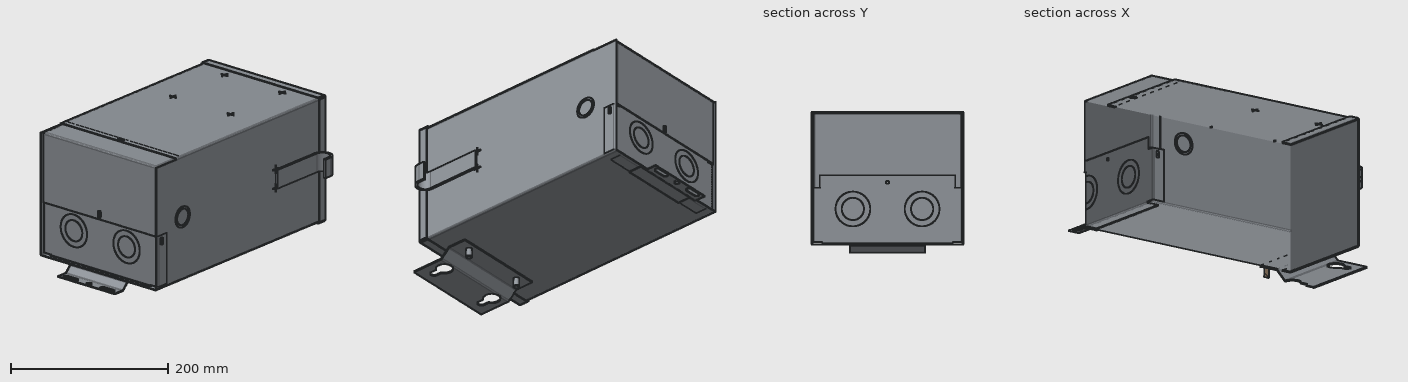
import cadquery as cq
import math


TOTAL_WIDTH = 246.13
TOTAL_LENGTH = 391.89
TOTAL_HEIGHT = 185.43

SHEET = 1.2
BEND_RADIUS = 2.4
BODY_WIDTH = 194.4
BODY_HEIGHT = 169.9
ROOF_FRONT = 38.6
CAP_FRONT = 317.6
CAP_BACK = 331.4
CAP_SIDE_CLEARANCE = 0.9
CAP_CORNER_GAP = BEND_RADIUS
HALF_WIDTH = BODY_WIDTH / 2
BODY_BACK = CAP_BACK - SHEET
INNER_HALF_WIDTH = HALF_WIDTH - SHEET

COVER_FRONT = 1.2
COVER_HALF_WIDTH = 94.9
COVER_FLANGE = 15.0
COVER_OVERLAP = 10.0
SPLIT_HEIGHT = 72.8
PANEL_CLEARANCE = 0.8
PANEL_FRONT = COVER_FRONT + SHEET + PANEL_CLEARANCE
PANEL_FLANGE = 18.0
PANEL_LIP_HALF_WIDTH = 83.2
TONGUE_HALF_WIDTH = 86.0
TONGUE_HEIGHT = 16.0

SLOT_LENGTH = 9.6
SLOT_WIDTH = 4.4
SCREW_HOLE = 3.4
ROOF_SLOT_Y = 44.2
COVER_SLOT_Z = 79.8
SIDE_SLOT_Y = 10.9
SIDE_SLOT_Z = 64.7

SCORE_WIDTH = 0.3
SCORE_DEPTH = 0.4
FRONT_KNOCKOUT_X = 44.1
FRONT_KNOCKOUT_Z = 45.9
FRONT_KNOCKOUT_DIAMETERS = (44.5, 28.6)
SIDE_KNOCKOUT_Y = 51.5
SIDE_KNOCKOUT_Z = 85.9
SIDE_KNOCKOUT_DIAMETERS = (28.6, 22.2)

CROSS_LENGTH = 10.6
CROSS_SLIT = 0.8
ROOF_CROSS_X = 48.2
ROOF_CROSS_Y = (202.8, 304.0)

HOOK_THICKNESS = 3.2
HOOK_WIDTH = 25.4
HOOK_Z = 84.7
HOOK_TIP_X = TOTAL_WIDTH / 2
HOOK_STRAP_END = 234.4
HOOK_BEND_Y = 310.4
HOOK_TIP_LENGTH = 8.9
HOOK_HOLE = 6.4
HOOK_RADIUS = (HOOK_TIP_X - HALF_WIDTH) / 2
HOOK_CENTRE_X = HALF_WIDTH + HOOK_RADIUS

FRONT_BRACKET_HALF_WIDTH = 47.8
FRONT_BRACKET_DROP = 8.9
FRONT_BRACKET_TIP = -23.9
FRONT_BRACKET_BEND = 0.6
FRONT_BRACKET_END = 20.5
FRONT_HOLES_Y = -18.6
FRONT_HOLE = 7.2
FRONT_SLOT_X = 30.5
FRONT_SLOT_LENGTH = 22.4
FRONT_SLOT_WIDTH = 7.2

REAR_SHEET = 1.9
REAR_BRACKET_HALF_WIDTH = 65.3
REAR_BRACKET_DROP = TOTAL_HEIGHT - BODY_HEIGHT - SHEET - REAR_SHEET
REAR_BRACKET_TIP = FRONT_BRACKET_TIP + TOTAL_LENGTH
REAR_BRACKET_BEND = 309.6
REAR_BRACKET_END = 282.3
KEYHOLE_X = 46.0
KEYHOLE_Y = 333.4
KEYHOLE_DIAMETER = 22.2
KEYHOLE_SLOT_WIDTH = 10.4
KEYHOLE_TOP = 356.0

STUD_DIAMETER = 7.9
STUD_Y = 292.0
STUD_CHAMFER = 0.9


def block(x, y, z):
    """Box given by its (low, high) limits along each axis."""
    return cq.Workplane("XY").box(
        x[1] - x[0], y[1] - y[0], z[1] - z[0], centered=False
    ).translate((x[0], y[0], z[0]))


def facing(origin, normal, across):
    """Workplane at origin, looking along normal, with its local X along across."""
    return cq.Workplane(cq.Plane(origin=origin, xDir=across, normal=normal))


def screw_slot(origin, normal, along):
    """Cutter for a screw slot through one sheet, lengthwise along a direction."""
    return facing(origin, normal, along).slot2D(SLOT_LENGTH, SLOT_WIDTH).extrude(SHEET, both=True)


def screw_hole(origin, normal, across):
    """Cutter for the round screw hole behind a slot."""
    return facing(origin, normal, across).circle(SCREW_HOLE / 2).extrude(SHEET, both=True)


def scored_circles(origin, normal, across, diameters):
    """Cutter for shallow concentric circular grooves."""
    grooves = cq.Workplane("XY")
    for diameter in diameters:
        radius = diameter / 2
        ring = facing(origin, normal, across).circle(radius).circle(radius - SCORE_WIDTH)
        grooves = grooves.add(ring.extrude(-SCORE_DEPTH))
    return grooves.combine()


def cross_slits(origin, normal, across):
    """Cutter for a locating cross made of two thin slits."""
    plane = facing(origin, normal, across)
    first = plane.rect(CROSS_LENGTH, CROSS_SLIT).extrude(SHEET, both=True)
    second = plane.rect(CROSS_SLIT, CROSS_LENGTH).extrude(SHEET, both=True)
    return first.union(second)


def make_housing():
    """Folded rectangular tube whose roof is cut back at the front."""
    tube = block((-HALF_WIDTH, HALF_WIDTH), (0, BODY_BACK), (0, BODY_HEIGHT))
    tube = tube.edges("|Y").fillet(BEND_RADIUS)
    cavity = block(
        (-INNER_HALF_WIDTH, INNER_HALF_WIDTH), (0, BODY_BACK), (SHEET, BODY_HEIGHT - SHEET)
    ).edges("|Y").fillet(BEND_RADIUS - SHEET)
    tube = tube.cut(cavity)
    wall_top = BODY_HEIGHT - BEND_RADIUS
    tube = tube.cut(block((-HALF_WIDTH, HALF_WIDTH), (0, ROOF_FRONT), (wall_top, BODY_HEIGHT)))
    tube = tube.cut(screw_slot((0, ROOF_SLOT_Y, BODY_HEIGHT), (0, 0, 1), (1, 0, 0)))
    for side in (-1, 1):
        x = side * HALF_WIDTH
        outward = (side, 0, 0)
        tube = tube.cut(screw_slot((x, SIDE_SLOT_Y, SIDE_SLOT_Z), outward, (0, 0, 1)))
        tube = tube.cut(scored_circles(
            (x, SIDE_KNOCKOUT_Y, SIDE_KNOCKOUT_Z), outward, (0, 1, 0), SIDE_KNOCKOUT_DIAMETERS
        ))
        for edge in (-1, 1):
            corner = (x, HOOK_STRAP_END, HOOK_Z + edge * HOOK_WIDTH / 2)
            tube = tube.cut(cross_slits(corner, outward, (0, 1, 0)))
        for y in ROOF_CROSS_Y:
            tube = tube.cut(cross_slits((side * ROOF_CROSS_X, y, BODY_HEIGHT), (0, 0, 1), (1, 0, 0)))
    return tube


def folded_channel(half_width, front, back, bottom, top):
    """Upright sheet whose side flanges fold back along +Y."""
    outer = block((-half_width, half_width), (front, back), (bottom, top))
    outer = outer.edges("|Z and <Y").fillet(BEND_RADIUS)
    inner = block(
        (-half_width + SHEET, half_width - SHEET), (front + SHEET, back), (bottom, top)
    ).edges("|Z and <Y").fillet(BEND_RADIUS - SHEET)
    return outer.cut(inner)


def make_rear_cap():
    """Rear plate with four flanges that wrap the back end of the housing."""
    inner_half_width = HALF_WIDTH + CAP_SIDE_CLEARANCE
    half_width = inner_half_width + SHEET
    bottom = -SHEET
    top = BODY_HEIGHT + SHEET
    flange_half_width = half_width - CAP_CORNER_GAP
    sides = block(
        (-half_width, half_width),
        (CAP_FRONT, CAP_BACK),
        (bottom + CAP_CORNER_GAP, top - CAP_CORNER_GAP),
    ).edges("|Z and >Y").fillet(BEND_RADIUS)
    ends = block(
        (-flange_half_width, flange_half_width), (CAP_FRONT, CAP_BACK), (bottom, top)
    ).edges("|X and >Y").fillet(BEND_RADIUS)
    pocket = block((-inner_half_width, inner_half_width), (CAP_FRONT, BODY_BACK), (0, BODY_HEIGHT))
    return sides.union(ends).cut(pocket)


def make_front_cover():
    """L-shaped cover: upper front face and a top that slides under the roof, with side flanges."""
    top = BODY_HEIGHT - SHEET
    back = ROOF_FRONT + COVER_OVERLAP
    outer = block((-COVER_HALF_WIDTH, COVER_HALF_WIDTH), (COVER_FRONT, back), (SPLIT_HEIGHT, top))
    folds = "(|Z and <Y) or (|Y and >Z) or (|X and <Y and >Z)"
    outer = outer.edges(folds).fillet(BEND_RADIUS)
    inner_half_width = COVER_HALF_WIDTH - SHEET
    inner = block(
        (-inner_half_width, inner_half_width),
        (COVER_FRONT + SHEET, back),
        (SPLIT_HEIGHT, top - SHEET),
    )
    inner = inner.edges(folds).fillet(BEND_RADIUS - SHEET)
    flange_trim = block(
        (-HALF_WIDTH, HALF_WIDTH),
        (COVER_FRONT + COVER_FLANGE, back),
        (SPLIT_HEIGHT, top - COVER_FLANGE),
    )
    cover = outer.cut(inner).cut(flange_trim)
    cover = cover.cut(screw_slot((0, COVER_FRONT, COVER_SLOT_Z), (0, -1, 0), (0, 0, 1)))
    return cover.cut(screw_hole((0, ROOF_SLOT_Y, top), (0, 0, 1), (1, 0, 0)))


def make_lower_panel():
    """Lower front panel with side flanges, a bottom lip and a tongue behind the cover."""
    back = PANEL_FRONT + PANEL_FLANGE
    lip_tangent = SHEET + BEND_RADIUS
    panel = folded_channel(INNER_HALF_WIDTH, PANEL_FRONT, back, lip_tangent, SPLIT_HEIGHT)
    lip_x = (-PANEL_LIP_HALF_WIDTH, PANEL_LIP_HALF_WIDTH)
    lip_top = lip_tangent + BEND_RADIUS
    lip = block(lip_x, (PANEL_FRONT, back), (SHEET, lip_top))
    lip = lip.edges("|X and <Y and <Z").fillet(BEND_RADIUS)
    lip_hollow = block(lip_x, (PANEL_FRONT + SHEET, back), (2 * SHEET, lip_top))
    lip_hollow = lip_hollow.edges("|X and <Y and <Z").fillet(BEND_RADIUS - SHEET)
    panel = panel.union(lip.cut(lip_hollow))
    panel = panel.union(block(
        (-TONGUE_HALF_WIDTH, TONGUE_HALF_WIDTH),
        (PANEL_FRONT, PANEL_FRONT + SHEET),
        (SPLIT_HEIGHT, SPLIT_HEIGHT + TONGUE_HEIGHT),
    ))
    panel = panel.cut(screw_hole((0, PANEL_FRONT, COVER_SLOT_Z), (0, -1, 0), (1, 0, 0)))
    for side in (-1, 1):
        x = side * INNER_HALF_WIDTH
        panel = panel.cut(screw_hole((x, SIDE_SLOT_Y, SIDE_SLOT_Z), (side, 0, 0), (0, 1, 0)))
        knockout = (side * FRONT_KNOCKOUT_X, PANEL_FRONT, FRONT_KNOCKOUT_Z)
        panel = panel.cut(scored_circles(knockout, (0, -1, 0), (1, 0, 0), FRONT_KNOCKOUT_DIAMETERS))
    return panel


def make_hook(side):
    """Flat strap along a side wall, turned outward through a half circle to a short tip."""
    inner_radius = HOOK_RADIUS - HOOK_THICKNESS
    inner_apex = (side * HOOK_CENTRE_X, HOOK_BEND_Y + inner_radius)
    outer_apex = (side * HOOK_CENTRE_X, HOOK_BEND_Y + HOOK_RADIUS)
    strap_outer = HALF_WIDTH + HOOK_THICKNESS
    tip_end = HOOK_BEND_Y - HOOK_TIP_LENGTH
    hook = (
        cq.Workplane("XY", origin=(0, 0, HOOK_Z))
        .moveTo(side * HALF_WIDTH, HOOK_STRAP_END)
        .lineTo(side * HALF_WIDTH, HOOK_BEND_Y)
        .threePointArc(outer_apex, (side * HOOK_TIP_X, HOOK_BEND_Y))
        .lineTo(side * HOOK_TIP_X, tip_end)
        .lineTo(side * (HOOK_TIP_X - HOOK_THICKNESS), tip_end)
        .lineTo(side * (HOOK_TIP_X - HOOK_THICKNESS), HOOK_BEND_Y)
        .threePointArc(inner_apex, (side * strap_outer, HOOK_BEND_Y))
        .lineTo(side * strap_outer, HOOK_STRAP_END)
        .close()
        .extrude(HOOK_WIDTH / 2, both=True)
    )
    hole = facing((side * HOOK_CENTRE_X, HOOK_BEND_Y, HOOK_Z), (0, 1, 0), (1, 0, 0))
    return hook.cut(hole.circle(HOOK_HOLE / 2).extrude(HOOK_RADIUS))


def joggled_plate(half_width, thickness, tip, bend, end, drop):
    """Plate flat under the floor, sloping down at 45 degrees to a lower plate that ends at tip."""
    outward = math.copysign(1, tip - bend)
    mitre = outward * thickness * math.tan(math.pi / 8)
    low_bend = bend + outward * drop
    profile = [
        (end, 0),
        (bend, 0),
        (low_bend, -drop),
        (tip, -drop),
        (tip, -drop - thickness),
        (low_bend - mitre, -drop - thickness),
        (bend - mitre, -thickness),
        (end, -thickness),
    ]
    plate = cq.Workplane("YZ").polyline(profile).close().extrude(half_width, both=True)

    def round_bend(y, z, radius):
        return plate.edges(cq.selectors.NearestToPointSelector((0, y, z))).fillet(radius)

    plate = round_bend(bend, 0, 2 * thickness)
    plate = round_bend(low_bend, -drop, thickness)
    plate = round_bend(low_bend - mitre, -drop - thickness, 2 * thickness)
    return round_bend(bend - mitre, -thickness, thickness)


def make_front_bracket():
    """Front wall bracket with a round hole between two slots."""
    plate = joggled_plate(
        FRONT_BRACKET_HALF_WIDTH, SHEET, FRONT_BRACKET_TIP,
        FRONT_BRACKET_BEND, FRONT_BRACKET_END, FRONT_BRACKET_DROP,
    )
    holes = cq.Workplane("XY", origin=(0, FRONT_HOLES_Y, -FRONT_BRACKET_DROP))
    plate = plate.cut(holes.circle(FRONT_HOLE / 2).extrude(-SHEET))
    slots = holes.pushPoints([(-FRONT_SLOT_X, 0), (FRONT_SLOT_X, 0)])
    return plate.cut(slots.slot2D(FRONT_SLOT_LENGTH, FRONT_SLOT_WIDTH).extrude(-SHEET))


def make_rear_bracket():
    """Rear wall bracket with two keyholes."""
    plate = joggled_plate(
        REAR_BRACKET_HALF_WIDTH, REAR_SHEET, REAR_BRACKET_TIP,
        REAR_BRACKET_BEND, REAR_BRACKET_END, REAR_BRACKET_DROP,
    )
    slot_end = KEYHOLE_TOP - KEYHOLE_SLOT_WIDTH / 2
    for side in (-1, 1):
        keyhole = cq.Workplane("XY", origin=(side * KEYHOLE_X, KEYHOLE_Y, -REAR_BRACKET_DROP))
        plate = plate.cut(keyhole.circle(KEYHOLE_DIAMETER / 2).extrude(-REAR_SHEET))
        slot = keyhole.center(0, (slot_end - KEYHOLE_Y) / 2)
        slot = slot.slot2D(KEYHOLE_TOP - KEYHOLE_Y + KEYHOLE_SLOT_WIDTH / 2, KEYHOLE_SLOT_WIDTH, 90)
        plate = plate.cut(slot.extrude(-REAR_SHEET))
    return plate


def make_stud(side):
    """Round stud under the rear bracket, in line with a keyhole."""
    stud = cq.Workplane("XY", origin=(side * KEYHOLE_X, STUD_Y, -REAR_SHEET))
    stud = stud.circle(STUD_DIAMETER / 2).extrude(-REAR_BRACKET_DROP)
    return stud.faces("<Z").chamfer(STUD_CHAMFER)


housing = make_housing()
rear_cap = make_rear_cap()
front_cover = make_front_cover()
lower_panel = make_lower_panel()
front_bracket = make_front_bracket()
rear_bracket = make_rear_bracket()
hooks = [make_hook(side) for side in (-1, 1)]
studs = [make_stud(side) for side in (-1, 1)]

result = cq.Compound.makeCompound([
    housing.solids().val(),
    rear_cap.solids().val(),
    front_cover.solids().val(),
    lower_panel.solids().val(),
    front_bracket.solids().val(),
    rear_bracket.solids().val(),
    *[hook.solids().val() for hook in hooks],
    *[stud.solids().val() for stud in studs],
])